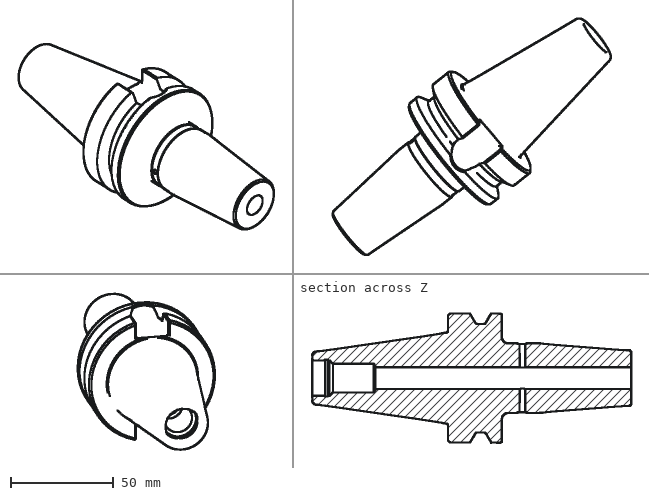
import cadquery as cq
import math

TAPER_LENGTH = 65.4
GAUGE_RADIUS = 44.45 / 2
TAPER_SLOPE = 7 / 48
REAR_FACE_RADIUS = 11.0
REAR_ROUND_LENGTH = 1.6
GAUGE_FILLET = 0.6

FLANGE_RADIUS = 63 / 2
FLANGE_START = 0.7
FLANGE_END = 27.0
FLANGE_REAR_CHAMFER = 1.0
FLANGE_FRONT_CHAMFER = 0.9
FLANGE_FRONT_CHAMFER_DEPTH = 0.5
V_GROOVE_CENTRE = 16.6
V_GROOVE_FLOOR_RADIUS = 26.5
V_GROOVE_FLOOR_WIDTH = 4.4
V_GROOVE_WALL_ANGLE = 30
V_GROOVE_FILLET = 0.4

NECK_RADIUS = 34 / 2
NECK_FILLET = 3.0
NOSE_END = 90.0
NOSE_TAPER_START = 45.4
NOSE_END_RADIUS = 27 / 2
NOSE_CHAMFER = 0.8
RELIEF_START = 34.5
RELIEF_END = 39.0
RELIEF_DEPTH = 0.3

BORE_RADIUS = 10.5 / 2
PILOT_RADIUS = 17 / 2
PILOT_DEPTH = 8.6
PILOT_ENTRY_ROUND = 1.0
PILOT_GROOVE_RADIUS = 8.9
PILOT_GROOVE_WIDTH = 1.4
PILOT_GROOVE_START = 6.2
THREAD_RADIUS = 13.8 / 2
THREAD_DEPTH = 30.0
DRILL_POINT_ANGLE = 118

SLOT_WIDTH = 16.0
SLOT_FLOOR_HEIGHT = 22.6
SLOT_END = 23.1
SLOT_FLOOR_FILLET = 0.5
SLOT_EDGE_CHAMFER = 0.7

COOLANT_HOLE_DIAMETER = 2.5
COOLANT_HOLE_X = 37.0

TOLERANCE = 1e-3


def taper_radius(x):
    return GAUGE_RADIUS + TAPER_SLOPE * x


def arc_middle(start, end, centre):
    """Midpoint of the circular arc about centre running from start to end."""
    radius = math.dist(start, centre)
    dx = (start[0] + end[0]) / 2 - centre[0]
    dy = (start[1] + end[1]) / 2 - centre[1]
    scale = radius / math.hypot(dx, dy)
    return (centre[0] + dx * scale, centre[1] + dy * scale)


def make_body():
    rear = -TAPER_LENGTH
    rear_round_end = (rear + REAR_ROUND_LENGTH, taper_radius(rear + REAR_ROUND_LENGTH))
    rear_face_edge = (rear, REAR_FACE_RADIUS)
    rear_round_centre = (rear + REAR_ROUND_LENGTH, REAR_FACE_RADIUS)

    fillet_x = FLANGE_START - GAUGE_FILLET
    taper_end = (fillet_x, taper_radius(fillet_x))
    gauge_fillet_end = (FLANGE_START, taper_radius(fillet_x) + GAUGE_FILLET)
    gauge_fillet_centre = (fillet_x, taper_radius(fillet_x) + GAUGE_FILLET)

    floor_half = V_GROOVE_FLOOR_WIDTH / 2
    wall_run = (FLANGE_RADIUS - V_GROOVE_FLOOR_RADIUS) * math.tan(math.radians(V_GROOVE_WALL_ANGLE))
    rim_half = floor_half + wall_run

    neck_fillet_start = (FLANGE_END, NECK_RADIUS + NECK_FILLET)
    neck_fillet_end = (FLANGE_END + NECK_FILLET, NECK_RADIUS)
    neck_fillet_centre = (FLANGE_END + NECK_FILLET, NECK_RADIUS + NECK_FILLET)

    nose_slope = (NECK_RADIUS - NOSE_END_RADIUS) / (NOSE_END - NOSE_TAPER_START)
    outline = (
        cq.Workplane("XZ")
        .moveTo(rear, 0)
        .lineTo(*rear_face_edge)
        .threePointArc(
            arc_middle(rear_face_edge, rear_round_end, rear_round_centre), rear_round_end
        )
        .lineTo(*taper_end)
        .threePointArc(
            arc_middle(taper_end, gauge_fillet_end, gauge_fillet_centre), gauge_fillet_end
        )
        .lineTo(FLANGE_START, FLANGE_RADIUS - FLANGE_REAR_CHAMFER)
        .lineTo(FLANGE_START + FLANGE_REAR_CHAMFER, FLANGE_RADIUS)
        .lineTo(V_GROOVE_CENTRE - rim_half, FLANGE_RADIUS)
        .lineTo(V_GROOVE_CENTRE - floor_half, V_GROOVE_FLOOR_RADIUS)
        .lineTo(V_GROOVE_CENTRE + floor_half, V_GROOVE_FLOOR_RADIUS)
        .lineTo(V_GROOVE_CENTRE + rim_half, FLANGE_RADIUS)
        .lineTo(FLANGE_END - FLANGE_FRONT_CHAMFER, FLANGE_RADIUS)
        .lineTo(FLANGE_END, FLANGE_RADIUS - FLANGE_FRONT_CHAMFER_DEPTH)
        .lineTo(*neck_fillet_start)
        .threePointArc(
            arc_middle(neck_fillet_start, neck_fillet_end, neck_fillet_centre), neck_fillet_end
        )
        .lineTo(RELIEF_START, NECK_RADIUS)
        .lineTo(RELIEF_START + RELIEF_DEPTH, NECK_RADIUS - RELIEF_DEPTH)
        .lineTo(RELIEF_END, NECK_RADIUS - RELIEF_DEPTH)
        .lineTo(RELIEF_END, NECK_RADIUS)
        .lineTo(NOSE_TAPER_START, NECK_RADIUS)
        .lineTo(NOSE_END - NOSE_CHAMFER, NOSE_END_RADIUS + nose_slope * NOSE_CHAMFER)
        .lineTo(NOSE_END, NOSE_END_RADIUS - NOSE_CHAMFER)
        .lineTo(NOSE_END, 0)
        .close()
    )
    turned = outline.revolve(360, (0, 0, 0), (1, 0, 0))
    groove_floor = cq.selectors.BoxSelector(
        (V_GROOVE_CENTRE - floor_half - TOLERANCE, -FLANGE_RADIUS, -FLANGE_RADIUS),
        (V_GROOVE_CENTRE + floor_half + TOLERANCE, FLANGE_RADIUS, FLANGE_RADIUS),
        boundingbox=True,
    )
    return turned.edges(groove_floor).edges("%CIRCLE").fillet(V_GROOVE_FILLET)


def make_bore():
    rear = -TAPER_LENGTH
    entry_start = (rear, PILOT_RADIUS + PILOT_ENTRY_ROUND)
    entry_end = (rear + PILOT_ENTRY_ROUND, PILOT_RADIUS)
    entry_centre = (rear + PILOT_ENTRY_ROUND, PILOT_RADIUS + PILOT_ENTRY_ROUND)
    groove_start = rear + PILOT_GROOVE_START
    groove_end = groove_start + PILOT_GROOVE_WIDTH
    pilot_end = rear + PILOT_DEPTH
    thread_end = rear + THREAD_DEPTH
    thread_countersink = PILOT_RADIUS - THREAD_RADIUS
    point_length = (THREAD_RADIUS - BORE_RADIUS) / math.tan(math.radians(DRILL_POINT_ANGLE / 2))
    outline = (
        cq.Workplane("XZ")
        .moveTo(rear, 0)
        .lineTo(*entry_start)
        .threePointArc(arc_middle(entry_start, entry_end, entry_centre), entry_end)
        .lineTo(groove_start, PILOT_RADIUS)
        .lineTo(groove_start, PILOT_GROOVE_RADIUS)
        .lineTo(groove_end, PILOT_GROOVE_RADIUS)
        .lineTo(groove_end, PILOT_RADIUS)
        .lineTo(pilot_end, PILOT_RADIUS)
        .lineTo(pilot_end + thread_countersink, THREAD_RADIUS)
        .lineTo(thread_end, THREAD_RADIUS)
        .lineTo(thread_end + point_length, BORE_RADIUS)
        .lineTo(NOSE_END, BORE_RADIUS)
        .lineTo(NOSE_END, 0)
        .close()
    )
    return outline.revolve(360, (0, 0, 0), (1, 0, 0))


def make_slot_cutter():
    """Round-ended slot above the axis, open toward the shank and outward."""
    half_width = SLOT_WIDTH / 2
    arc_centre_x = SLOT_END - half_width
    return (
        cq.Workplane("XY", origin=(0, 0, SLOT_FLOOR_HEIGHT))
        .moveTo(0, -half_width)
        .lineTo(arc_centre_x, -half_width)
        .threePointArc((SLOT_END, 0), (arc_centre_x, half_width))
        .lineTo(0, half_width)
        .close()
        .extrude(FLANGE_RADIUS)
    )


def make_coolant_holes():
    return (
        cq.Workplane("XZ", origin=(COOLANT_HOLE_X, 0, 0))
        .circle(COOLANT_HOLE_DIAMETER / 2)
        .extrude(NECK_RADIUS, both=True)
    )


def is_wall_edge(edge):
    """True for the outer edges of the straight slot walls on the rear flange disc."""
    points = [edge.positionAt(t) for t in (0, 0.5, 1)]
    on_walls = all(abs(abs(p.y) - SLOT_WIDTH / 2) < TOLERANCE for p in points)
    above_floor = abs(points[1].z) > SLOT_FLOOR_HEIGHT + TOLERANCE
    return on_walls and above_floor and points[1].x < V_GROOVE_CENTRE - V_GROOVE_FLOOR_WIDTH


def is_rim_edge(edge):
    """True for the edge where the round slot end meets the outside of the front flange disc."""
    points = [edge.positionAt(t) for t in (0, 0.5, 1)]
    on_rim = all(abs(math.hypot(p.y, p.z) - FLANGE_RADIUS) < TOLERANCE for p in points)
    return on_rim and V_GROOVE_CENTRE < points[1].x < SLOT_END + TOLERANCE and edge.geomType() != "CIRCLE"


def is_floor_edge(edge):
    """True for the edges where the slot walls meet the slot floor."""
    points = [edge.positionAt(t) for t in (0, 0.5, 1)]
    on_floor = all(abs(abs(p.z) - SLOT_FLOOR_HEIGHT) < TOLERANCE for p in points)
    return on_floor and points[1].x > FLANGE_START + SLOT_EDGE_CHAMFER


def add_drive_slots(body):
    upper_slot = make_slot_cutter()
    lower_slot = upper_slot.rotate((0, 0, 0), (1, 0, 0), 180)
    slotted = body.cut(upper_slot).cut(lower_slot)
    outer_edges = [e for e in slotted.edges().vals() if is_wall_edge(e) or is_rim_edge(e)]
    chamfered = slotted.newObject(outer_edges).chamfer(SLOT_EDGE_CHAMFER)
    floor_edges = [e for e in chamfered.edges().vals() if is_floor_edge(e)]
    return chamfered.newObject(floor_edges).fillet(SLOT_FLOOR_FILLET)


result = add_drive_slots(make_body()).cut(make_bore()).cut(make_coolant_holes())